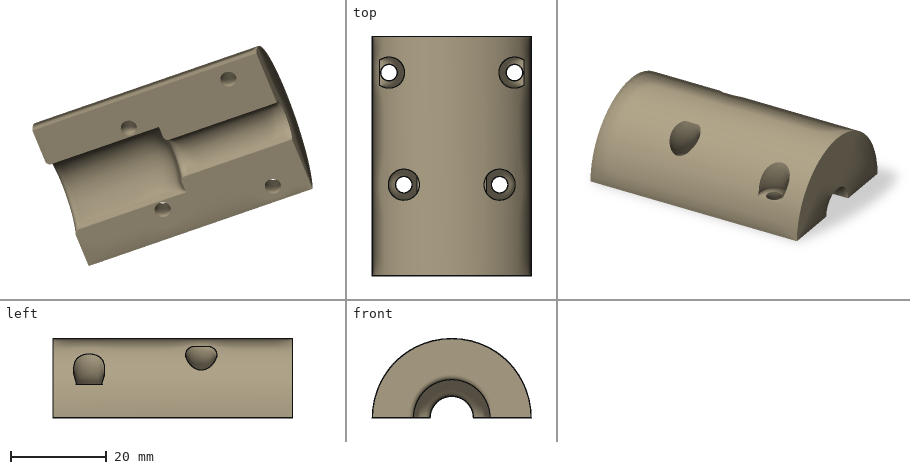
import cadquery as cq

length = 50.0
outer_radius = 16.6

bore_radius = 4.5
front_bore_radius = 8.0
front_bore_depth = length / 2
edge_round = 1.0

screw_diameter = 3.4
head_diameter = 6.5
head_seat_height = 7.0
head_pocket_top = 14.95
front_screw = (10.0, 19.05)
rear_screw = (13.1, 42.45)


def cylinder_along_y(radius, start, depth):
    """Solid cylinder on the Y axis, beginning at y = start."""
    plane = cq.Plane(origin=(0, start, 0), xDir=(1, 0, 0), normal=(0, 1, 0))
    return cq.Workplane(plane).circle(radius).extrude(depth)


def half_body():
    upper_half = cq.Workplane("XY").box(
        2 * outer_radius, length, outer_radius, centered=(True, False, False)
    )
    return cylinder_along_y(outer_radius, 0, length).intersect(upper_half)


def stepped_bore():
    """Revolved bore tool whose mouth and inner step edge are both rounded."""
    arc_offset = edge_round * (1 - 0.5 ** 0.5)
    mouth_radius = front_bore_radius + edge_round
    step_radius = bore_radius + edge_round
    step_end = front_bore_depth + edge_round
    profile = (
        cq.Workplane("XY")
        .lineTo(mouth_radius, 0)
        .threePointArc(
            (front_bore_radius + arc_offset, arc_offset),
            (front_bore_radius, edge_round),
        )
        .lineTo(front_bore_radius, front_bore_depth)
        .lineTo(step_radius, front_bore_depth)
        .threePointArc(
            (bore_radius + arc_offset, front_bore_depth + arc_offset),
            (bore_radius, step_end),
        )
        .lineTo(bore_radius, length)
        .lineTo(0, length)
        .close()
    )
    return profile.revolve(360, (0, 0, 0), (0, 1, 0))


def screw_hole(x, y):
    """Through hole with a head pocket of limited height."""
    shank = cq.Workplane("XY").center(x, y).circle(screw_diameter / 2).extrude(head_pocket_top)
    head = (
        cq.Workplane("XY", origin=(x, y, head_seat_height))
        .circle(head_diameter / 2)
        .extrude(head_pocket_top - head_seat_height)
    )
    return shank.union(head)


result = half_body().cut(stepped_bore())
for x, y in (front_screw, rear_screw):
    for side in (-1, 1):
        result = result.cut(screw_hole(side * x, y))